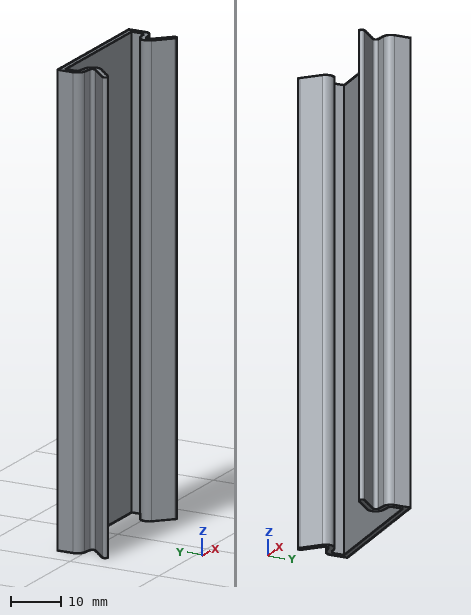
import cadquery as cq
import math

length = 100.0
width = 30.0
depth = 11.0
thickness = 1.2

wall_fold_depth = 4.5
lip_angle = 10.0
leg_angle = 45.0
bend_radius = 1.2

half_thickness = thickness / 2
back_y = depth / 2
wall_x = -width / 2 + half_thickness

wall_top = (wall_x, back_y - half_thickness)
wall_fold = (wall_x, back_y - wall_fold_depth)
leg_tip = (wall_x, -depth / 2 + half_thickness)
lip_slope = math.tan(math.radians(lip_angle))
leg_slope = math.tan(math.radians(leg_angle))
lip_reach = (wall_fold[1] - leg_tip[1]) / (lip_slope + leg_slope)
throat = (wall_x + lip_reach, wall_fold[1] - lip_reach * lip_slope)


def direction(start, end):
    """Unit vector from start to end."""
    span = math.dist(start, end)
    return ((end[0] - start[0]) / span, (end[1] - start[1]) / span)


def bend(before, corner, after, radius):
    """Start, middle and end of the arc rounding a corner."""
    inward = direction(corner, before)
    outward = direction(corner, after)
    half_angle = math.acos(inward[0] * outward[0] + inward[1] * outward[1]) / 2
    tangent_length = radius / math.tan(half_angle)
    middle_distance = radius / math.sin(half_angle) - radius
    bisector = direction((0, 0), (inward[0] + outward[0], inward[1] + outward[1]))

    def offset(vector, distance):
        return (corner[0] + vector[0] * distance, corner[1] + vector[1] * distance)

    return (
        offset(inward, tangent_length),
        offset(bisector, middle_distance),
        offset(outward, tangent_length),
    )


def make_back_plate():
    return (
        cq.Workplane("XY")
        .center(0, back_y - half_thickness)
        .rect(width, thickness)
        .extrude(length)
    )


def make_left_clip():
    """Folded strip of constant thickness with a fully rounded free edge."""
    wall_start, wall_middle, wall_end = bend(wall_top, wall_fold, throat, bend_radius)
    throat_start, throat_middle, throat_end = bend(wall_fold, throat, leg_tip, bend_radius)
    return (
        cq.Workplane("XY")
        .moveTo(*wall_top)
        .lineTo(*wall_start)
        .threePointArc(wall_middle, wall_end)
        .lineTo(*throat_start)
        .threePointArc(throat_middle, throat_end)
        .lineTo(*leg_tip)
        .wire()
        .offset2D(half_thickness)
        .extrude(length)
    )


left_clip = make_left_clip()
right_clip = left_clip.mirror("YZ")
result = make_back_plate().union(left_clip).union(right_clip)